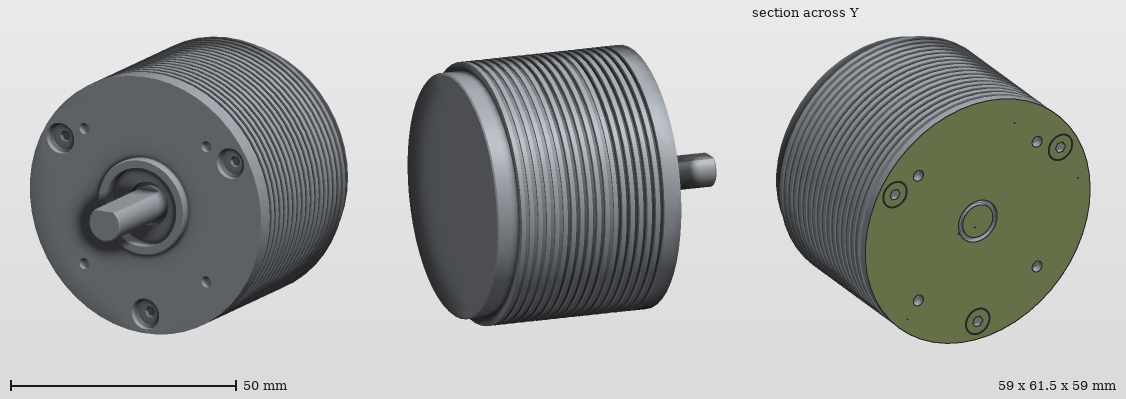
import cadquery as cq
import math


BODY_D = 59.0
BODY_LENGTH = 38.0
FLANGE_THICKNESS = 4.0
REAR_CAP_D = 55.0
REAR_CAP_LENGTH = 5.0
REAR_CAP_CHAMFER = 0.3

SHALLOW_D = 58.0
MEDIUM_D = 57.1
DEEP_D = 56.0
GROOVE_DIAMETERS = [SHALLOW_D] * 5 + [MEDIUM_D] * 5 + [SHALLOW_D] + [DEEP_D] * 6
FIN_PITCH = (BODY_LENGTH - FLANGE_THICKNESS) / len(GROOVE_DIAMETERS)
FIN_THICKNESS = FIN_PITCH / 2
CUT_CLEARANCE = 0.6

BOSS_D = 22.0
BOSS_HEIGHT = 2.0
BOSS_CHAMFER = 0.3
RECESS_D = 18.0
RECESS_DEPTH = 3.5
BEARING_BORE_D = 10.0
BEARING_BORE_DEPTH = 2.0

SHAFT_D = 8
SHAFT_SHOULDER_D = 8.6
SHAFT_SHOULDER_HEIGHT = 0.5
SHAFT_PROJECTION = 16.5
SHAFT_CHAMFER = 0.3
SHAFT_FLAT_HEIGHT = 3.0
SHAFT_FLAT_LENGTH = SHAFT_PROJECTION + RECESS_DEPTH

MOUNT_HOLE_D = 2.5
MOUNT_CIRCLE_D = 44.0
MOUNT_HOLE_DEPTH = FLANGE_THICKNESS
MOUNT_ANGLES = [45, 135, 225, 315]

SCREW_CIRCLE_D = 50.0
SCREW_ANGLES = [30, 150, 270]
SCREW_POCKET_D = 7.0
SCREW_HEAD_D = 6.0
SCREW_POCKET_DEPTH = 2.45
SCREW_HEAD_HEIGHT = 0.25
SOCKET_ACROSS_CORNERS = 2.5
SOCKET_DEPTH = 1.0
SOCKET_COUNTERSINK_DEPTH = 0.1
SOCKET_COUNTERSINK_ANGLE = 45


def cylinder(diameter, y_start, y_end):
    """Cylinder on the motor axis between two Y positions."""
    plane = cq.Workplane("XZ", origin=(0, y_start, 0))
    return plane.circle(diameter / 2).extrude(y_start - y_end)


def polar_points(circle_diameter, angles):
    """X, Z positions on a circle around the motor axis."""
    radius = circle_diameter / 2
    return [
        (radius * math.cos(math.radians(angle)), radius * math.sin(math.radians(angle)))
        for angle in angles
    ]


def make_body():
    body = cylinder(BODY_D, 0, BODY_LENGTH)
    rear_end = BODY_LENGTH + REAR_CAP_LENGTH
    rear_cap = cylinder(REAR_CAP_D, BODY_LENGTH, rear_end).faces(">Y").chamfer(REAR_CAP_CHAMFER)
    boss = cylinder(BOSS_D, 0, -BOSS_HEIGHT).faces("<Y").chamfer(BOSS_CHAMFER)
    return body.union(rear_cap).union(boss)


def cut_fin_grooves(body):
    for index, floor_diameter in enumerate(GROOVE_DIAMETERS):
        groove_rear = BODY_LENGTH - index * FIN_PITCH - FIN_THICKNESS
        groove_front = BODY_LENGTH - (index + 1) * FIN_PITCH
        ring = cylinder(BODY_D + CUT_CLEARANCE, groove_front, groove_rear)
        body = body.cut(ring.cut(cylinder(floor_diameter, groove_front, groove_rear)))
    return body


def cut_mounting_holes(body):
    plane = cq.Workplane("XZ").pushPoints(polar_points(MOUNT_CIRCLE_D, MOUNT_ANGLES))
    return body.cut(plane.circle(MOUNT_HOLE_D / 2).extrude(-MOUNT_HOLE_DEPTH))


def screw_pocket():
    """Pocket with a chamfered floor edge, leaving a proud screw head with a hexagonal socket."""
    floor_chamfer = (SCREW_POCKET_D - SCREW_HEAD_D) / 2
    pocket = cylinder(SCREW_POCKET_D, 0, SCREW_POCKET_DEPTH).faces(">Y").chamfer(floor_chamfer)
    head_face = SCREW_POCKET_DEPTH - SCREW_HEAD_HEIGHT
    head = cylinder(SCREW_HEAD_D, head_face, SCREW_POCKET_DEPTH)
    socket_plane = cq.Workplane("XZ", origin=(0, head_face, 0))
    socket = socket_plane.polygon(6, SOCKET_ACROSS_CORNERS).extrude(-SOCKET_DEPTH)
    countersink = socket_plane.circle(SOCKET_ACROSS_CORNERS / 2).extrude(
        -SOCKET_COUNTERSINK_DEPTH, taper=SOCKET_COUNTERSINK_ANGLE
    )
    return pocket.cut(head).union(socket).union(countersink)


def cut_screw_pockets(body):
    for x, z in polar_points(SCREW_CIRCLE_D, SCREW_ANGLES):
        body = body.cut(screw_pocket().translate((x, 0, z)))
    return body


def cut_recess(body):
    recess_floor = RECESS_DEPTH - BOSS_HEIGHT
    body = body.cut(cylinder(RECESS_D, -BOSS_HEIGHT, recess_floor))
    return body.cut(cylinder(BEARING_BORE_D, recess_floor, recess_floor + BEARING_BORE_DEPTH))


def make_shaft():
    """Shaft with a flat towards the tip, rising from a short round shoulder in the bore."""
    bore_floor = RECESS_DEPTH - BOSS_HEIGHT + BEARING_BORE_DEPTH
    tip = -BOSS_HEIGHT - SHAFT_PROJECTION
    shaft = cylinder(SHAFT_D, bore_floor, tip).faces("<Y").chamfer(SHAFT_CHAMFER)
    flat_cutter = cq.Workplane("XY", origin=(0, tip, SHAFT_FLAT_HEIGHT)).box(
        SHAFT_D, SHAFT_FLAT_LENGTH, SHAFT_D, centered=(True, False, False)
    )
    shoulder = cylinder(SHAFT_SHOULDER_D, bore_floor, bore_floor - SHAFT_SHOULDER_HEIGHT)
    return shaft.cut(flat_cutter).union(shoulder)


body = cut_fin_grooves(make_body())
body = cut_mounting_holes(body)
body = cut_screw_pockets(body)
body = cut_recess(body)
result = body.union(make_shaft())